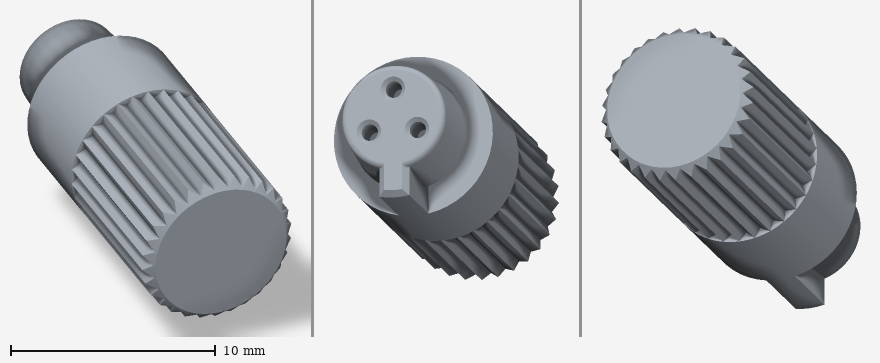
import cadquery as cq
import math

overall_length = 18.6
rim_end = 3.53
neck_start = 3.78
collar_start = 4.26
knurl_start = 9.6

nose_radius = 2.59
rim_radius = 2.88
neck_radius = 2.45
nose_fillet = 0.26

body_radius = 8.0 / 2
end_chamfer = 0.5
groove_count = 30
groove_root_radius = 3.59
first_crest_angle = 4.6

socket_count = 3
socket_diameter = 0.82
socket_mouth_diameter = 1.23
socket_depth = 1.86
socket_circle_radius = 1.4
first_socket_angle = 90

key_width = 1.5
key_chamfer = 0.3


def polar_point(radius, angle):
    """Point in the YZ plane, with the angle in degrees from +Y toward +Z."""
    turn = math.radians(angle)
    return (radius * math.cos(turn), radius * math.sin(turn))


def make_plug():
    profile = [
        (0, 0),
        (0, nose_radius),
        (rim_end, rim_radius),
        (neck_start, neck_radius),
        (collar_start, neck_radius),
        (collar_start, 0),
    ]
    plug = cq.Workplane("XY").polyline(profile).close().revolve(360, (0, 0), (1, 0))
    return plug.faces("<X").edges().fillet(nose_fillet)


def make_key():
    """Radial bar whose underside follows the body, chamfered around its front end."""
    half_width = key_width / 2
    corner_z = -math.sqrt(body_radius**2 - half_width**2)
    key = (
        cq.Workplane("YZ")
        .moveTo(-half_width, 0)
        .lineTo(-half_width, corner_z)
        .threePointArc((0, -body_radius), (half_width, corner_z))
        .lineTo(half_width, 0)
        .close()
        .extrude(collar_start)
    )
    return key.faces("<X").edges("not >Z").chamfer(key_chamfer)


def make_collar():
    return cq.Workplane("YZ", (collar_start, 0, 0)).circle(body_radius).extrude(knurl_start - collar_start)


def make_grip():
    """Ring of V-grooves between sharp crests, trimmed by a conical chamfer at the end."""
    pitch = 360 / groove_count
    outline = []
    for index in range(groove_count):
        crest_angle = first_crest_angle + index * pitch
        outline.append(polar_point(body_radius, crest_angle))
        outline.append(polar_point(groove_root_radius, crest_angle + pitch / 2))

    grip_length = overall_length - knurl_start
    base = cq.Workplane("YZ", (knurl_start, 0, 0))
    envelope = base.circle(body_radius).extrude(grip_length).faces(">X").chamfer(end_chamfer)
    return base.polyline(outline).close().extrude(grip_length).intersect(envelope)


def make_sockets():
    """Blind contact holes with 45 degree countersunk mouths."""
    mouth_depth = (socket_mouth_diameter - socket_diameter) / 2
    profile = [
        (0, 0),
        (0, socket_mouth_diameter / 2),
        (mouth_depth, socket_diameter / 2),
        (socket_depth, socket_diameter / 2),
        (socket_depth, 0),
    ]
    socket = cq.Workplane("XY").polyline(profile).close().revolve(360, (0, 0), (1, 0))
    sockets = cq.Workplane("XY")
    for index in range(socket_count):
        y, z = polar_point(socket_circle_radius, first_socket_angle + index * 360 / socket_count)
        sockets = sockets.add(socket.translate((0, y, z)))
    return sockets.combine()


body = make_plug().union(make_key()).union(make_collar()).union(make_grip())
result = body.cut(make_sockets())